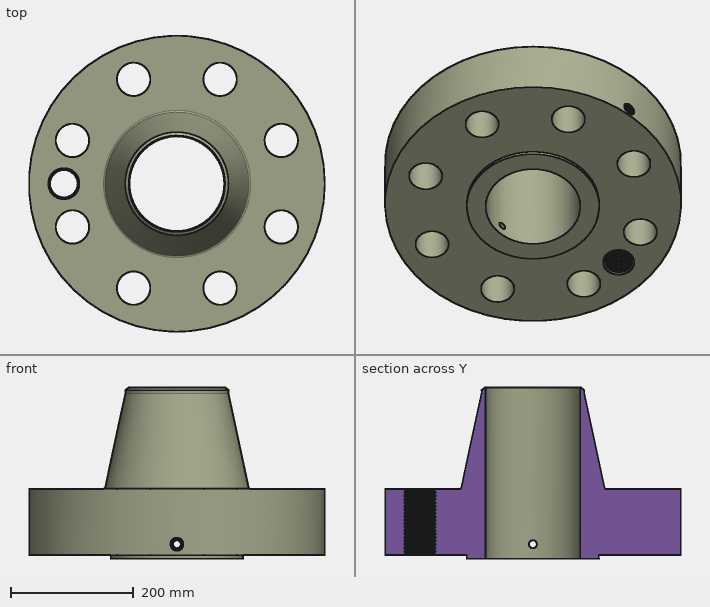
import cadquery as cq
import math

INCH = 25.4

flange_diameter = 19.0 * INCH
flange_thickness = 4.25 * INCH
raised_face_diameter = 8.5 * INCH
raised_face_height = 0.25 * INCH
overall_height = 11.0 * INCH
flange_top = raised_face_height + flange_thickness

hub_base_diameter = 235.0
hub_fillet_radius = 3.0
pipe_diameter = 168.3
bore_diameter = 154.1
weld_land = 1.6
weld_bevel_angle = math.radians(37.5)
pipe_collar_height = 5.5

bolt_count = 8
bolt_circle_diameter = 14.5 * INCH
bolt_hole_diameter = 2.125 * INCH

thread_half_angle = math.radians(30)

jack_major_diameter = 2.0 * INCH
jack_pitch = INCH / 4.5
jack_thread_height = 0.5413 * jack_pitch
jack_root_flat = jack_pitch / 8

tap_height = 24.0
tap_hole_diameter = 0.5 * INCH
tap_major_diameter = 21.3
tap_pitch = INCH / 14
tap_thread_height = 0.8 * tap_pitch
tap_root_flat = 0.038 * tap_pitch
tap_thread_count = 11
tap_taper = 1 / 32
drill_point_half_angle = math.radians(59)


def make_body():
    """Raised face, plate, conical hub and bevelled weld end, revolved around the bore."""
    bore_radius = bore_diameter / 2
    pipe_radius = pipe_diameter / 2
    land_radius = bore_radius + weld_land
    bevel_bottom = overall_height - (pipe_radius - land_radius) * math.tan(weld_bevel_angle)
    profile = [
        (bore_radius, 0),
        (raised_face_diameter / 2, 0),
        (raised_face_diameter / 2, raised_face_height),
        (flange_diameter / 2, raised_face_height),
        (flange_diameter / 2, flange_top),
        (hub_base_diameter / 2, flange_top),
        (pipe_radius, bevel_bottom - pipe_collar_height),
        (pipe_radius, bevel_bottom),
        (land_radius, overall_height),
        (bore_radius, overall_height),
    ]
    body = cq.Workplane("XZ").polyline(profile).close().revolve(360, (0, 0), (0, 1))
    mid_plate_radius = (hub_base_diameter + flange_diameter) / 4
    plate_top = body.faces(cq.selectors.NearestToPointSelector((mid_plate_radius, 0, flange_top)))
    hub_base_edge = plate_top.edges(cq.selectors.RadiusNthSelector(0))
    return hub_base_edge.fillet(hub_fillet_radius)


def make_bolt_holes():
    """Through holes, half a spacing away from the X axis."""
    return (
        cq.Workplane("XY")
        .polarArray(bolt_circle_diameter / 2, 180 / bolt_count, 360, bolt_count)
        .circle(bolt_hole_diameter / 2)
        .extrude(overall_height)
    )


def make_thread_cutter(major_diameter, pitch, height, root_flat, count, taper=0.0, point_half_angle=None):
    """Thread cutter built from stacked ring grooves, running from its mouth at Z = 0 along -Z."""
    flank = height * math.tan(thread_half_angle)
    groove = [(0, 0), (root_flat, 0), (root_flat + flank, height), (pitch - flank, height)]
    profile = [(0, 0)]
    for turn in range(count):
        for offset, inset in groove:
            depth = turn * pitch + offset
            profile.append((major_diameter / 2 - inset - taper * depth, -depth))
    end_radius, end_level = profile[-1]
    if point_half_angle is not None:
        end_level -= end_radius / math.tan(point_half_angle)
    profile.append((0, end_level))
    return cq.Workplane("XZ").polyline(profile).close().revolve(360, (0, 0), (0, 1))


def make_jackscrew_hole():
    """Threaded through hole on the -X side of the bolt circle."""
    turns = math.ceil(flange_thickness / jack_pitch) + 1
    cutter = make_thread_cutter(jack_major_diameter, jack_pitch, jack_thread_height, jack_root_flat, turns)
    return cutter.translate((-bolt_circle_diameter / 2, 0, flange_top))


def make_pressure_taps():
    """Opposed radial taps on the -Y and +Y rim, joined to the bore by a straight hole."""
    thread = make_thread_cutter(
        tap_major_diameter, tap_pitch, tap_thread_height, tap_root_flat,
        tap_thread_count, tap_taper, drill_point_half_angle,
    ).translate((0, 0, flange_diameter / 2))
    drill = cq.Workplane("XY").circle(tap_hole_diameter / 2).extrude(flange_diameter / 2)
    tap = thread.union(drill)
    taps = [tap.rotate((0, 0, 0), (1, 0, 0), angle) for angle in (90, -90)]
    return taps[0].union(taps[1]).translate((0, 0, tap_height))


result = (
    make_body()
    .cut(make_bolt_holes())
    .cut(make_jackscrew_hole())
    .cut(make_pressure_taps())
)